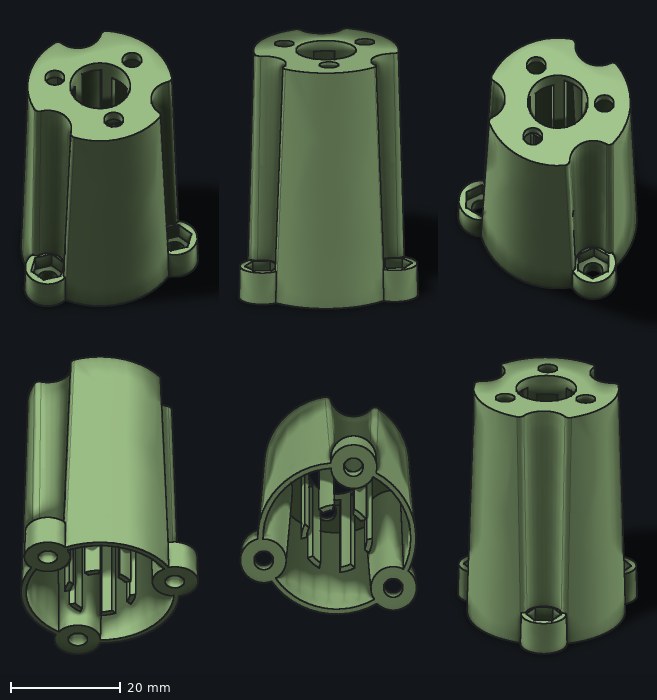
import cadquery as cq
import math

height = 45.0
base_radius = 14.5
top_radius = 13.28
draft = (base_radius - top_radius) / height
flute_base_radius = 3.1
flute_edge_fillet = 1.0
wall = 1.0
ceiling = 2.0

lug_circle_radius = 14.0
lug_angles = (30, 150, 270)
lug_base_radius = 4.28
lug_height = 6.05
nut_across_flats = 5.55
nut_depth = 3.2

hole_diameter = 3.5

bore_radius = 5.5
screw_circle_radius = 8.5
screw_angles = (90, 210, 330)

tube_radius = bore_radius + wall
slot_width = 3.8
screw_slot_depth = 3.8


def polar(radius, angle):
    """Point at a radius and an angle in degrees around the Z axis."""
    turn = math.radians(angle)
    return (radius * math.cos(turn), radius * math.sin(turn))


def cylinder(radius, bottom, top, center=(0, 0)):
    """Upright cylinder between two heights."""
    return cq.Workplane("XY", origin=(*center, bottom)).circle(radius).extrude(top - bottom)


def cone(radius, growth, top, center=(0, 0)):
    """Upright cone frustum from the base plane; growth is the change of radius per height."""
    solid = cq.Solid.makeCone(radius, radius + growth * top, top, pnt=cq.Vector(*center, 0))
    return cq.Workplane(obj=solid)


def fluted_column(radius, flute_radius, top):
    """Column narrowing upward, cut by flutes that widen upward."""
    column = cone(radius, -draft, top)
    for angle in lug_angles:
        column = column.cut(cone(flute_radius, draft, top, polar(lug_circle_radius, angle)))
    return column


def is_flute_edge(edge):
    """True for a long edge that lies on the column's surface beside a flute."""
    middle = edge.Center()
    middle_radius = (base_radius + top_radius) / 2
    is_long = edge.BoundingBox().zlen > height / 2
    on_surface = abs(math.hypot(middle.x, middle.y) - middle_radius) < wall / 2
    flute_centers = [polar(lug_circle_radius, angle) for angle in lug_angles]
    beside_flute = any(math.dist((middle.x, middle.y), center) < lug_base_radius for center in flute_centers)
    return is_long and on_surface and beside_flute


def outer_column():
    """Fluted column with the long flute edges rounded."""
    column = fluted_column(base_radius, flute_base_radius, height)
    flute_edges = [edge for edge in column.edges().vals() if is_flute_edge(edge)]
    return column.newObject(flute_edges).fillet(flute_edge_fillet)


def slotted_tube():
    """Tube around the bore; its slots start below the ceiling, or lower down facing the screws."""
    tube = cylinder(tube_radius, 0, height - ceiling)
    for angles, slot_top in ((lug_angles, height - ceiling), (screw_angles, height - screw_slot_depth)):
        for angle in angles:
            slot = cq.Workplane("XY").box(tube_radius, slot_width, slot_top, centered=(False, True, False))
            tube = tube.cut(slot.rotate((0, 0, 0), (0, 0, 1), angle))
    return tube


def nut_pocket(center):
    """Hexagonal pocket sunk into the top of a lug, with corners pointing along X."""
    across_corners = nut_across_flats / math.cos(math.pi / 6)
    floor = cq.Workplane("XY", origin=(*center, lug_height - nut_depth))
    return floor.polygon(6, across_corners).extrude(nut_depth)


cavity = fluted_column(base_radius - wall, flute_base_radius + wall, height - ceiling)
result = outer_column().cut(cavity).union(slotted_tube())

for angle in lug_angles:
    lug_center = polar(lug_circle_radius, angle)
    lug = cone(lug_base_radius, -draft, lug_height, lug_center).cut(cavity)
    result = result.union(lug).cut(nut_pocket(lug_center))
    result = result.cut(cylinder(hole_diameter / 2, 0, lug_height, lug_center))

for angle in screw_angles:
    screw_center = polar(screw_circle_radius, angle)
    result = result.cut(cylinder(hole_diameter / 2, height - ceiling, height, screw_center))

result = result.cut(cylinder(bore_radius, 0, height))